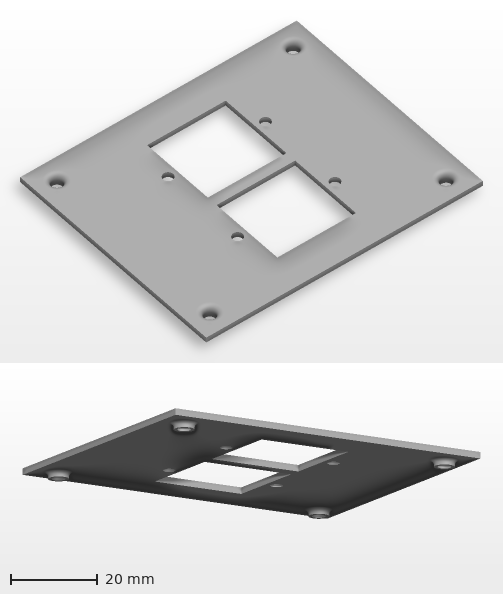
import cadquery as cq

plate_width = 68.1
plate_length = 82.0
plate_thickness = 1.55
total_height = 3.0

screw_spacing_x = 55.95
screw_spacing_y = 70.1
screw_hole_diameter = 3.2
mouth_diameter = 6.4
boss_diameter = 4.8
boss_root_radius = 1.0

window_width = 22.2
window_length = 23.3
window_pitch = 25.4
fixing_spacing_y = 28.9
fixing_hole_diameter = 2.95


def make_plate():
    """Flat plate with the windows and fixing holes cut through."""
    plate = cq.Workplane("XY").rect(plate_width, plate_length).extrude(-plate_thickness)
    windows = (
        cq.Workplane("XY")
        .rarray(window_pitch, 0.8, 2, 1)
        .rect(window_width, window_length)
        .extrude(-plate_thickness)
    )
    fixing_holes = (
        cq.Workplane("XY")
        .rarray(window_pitch, fixing_spacing_y, 2, 2)
        .circle(fixing_hole_diameter / 2)
        .extrude(-plate_thickness)
    )
    return plate.cut(windows).cut(fixing_holes)


def make_boss():
    """Round boss from the plate's top face down, flared out where it meets the underside."""
    boss_radius = boss_diameter / 2
    root_outer_radius = boss_radius + boss_root_radius
    return (
        cq.Workplane("XZ")
        .lineTo(root_outer_radius, 0)
        .lineTo(root_outer_radius, -plate_thickness)
        .radiusArc((boss_radius, -plate_thickness - boss_root_radius), -boss_root_radius)
        .lineTo(boss_radius, -total_height)
        .lineTo(0, -total_height)
        .close()
        .revolve(360, (0, 0, 0), (0, 1, 0))
    )


def make_screw_hole():
    """Through hole whose upper end flares out tangent to the plate's top face."""
    hole_radius = screw_hole_diameter / 2
    mouth_radius = mouth_diameter / 2
    flare_radius = mouth_radius - hole_radius
    return (
        cq.Workplane("XZ")
        .lineTo(mouth_radius, 0)
        .radiusArc((hole_radius, -flare_radius), -flare_radius)
        .lineTo(hole_radius, -total_height)
        .lineTo(0, -total_height)
        .close()
        .revolve(360, (0, 0, 0), (0, 1, 0))
    )


def at_corners(shape):
    """Copies of a shape at the four screw positions."""
    corners = cq.Workplane("XY").rarray(screw_spacing_x, screw_spacing_y, 2, 2)
    return corners.eachpoint(lambda location: shape.val().moved(location), combine=False)


result = make_plate().union(at_corners(make_boss())).cut(at_corners(make_screw_hole()))